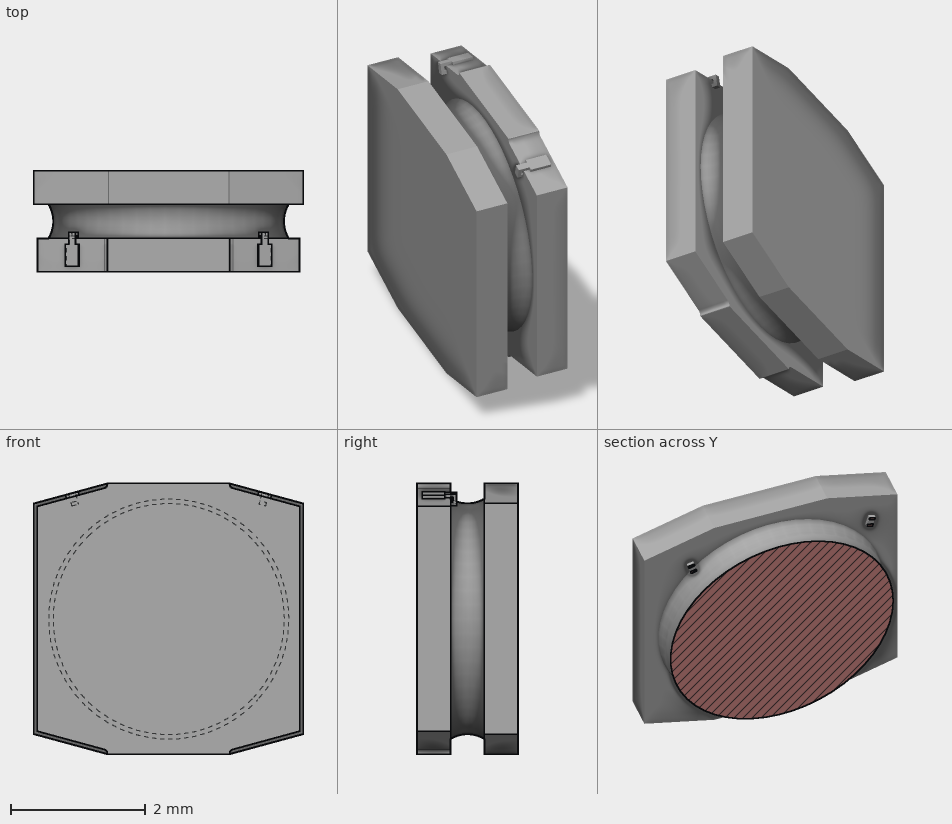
import cadquery as cq
import math

CORE_WIDTH = 4.0
CORE_DEPTH = 1.5
CORE_HEIGHT = 4.02
FLANGE_THICKNESS = 0.5
FLAT_HALF_WIDTH = 0.892
SIDE_HALF_HEIGHT = 1.71

FLANGE_SETBACK = 0.055
STEP_X = 0.905
STEP_FILLET = 0.07

POST_END_RADIUS = 1.78
POST_WAIST_RADIUS = 1.713

LEAD_X = 1.42
LEAD_THICKNESS = 0.052
PAD_WIDTH = 0.195
PAD_LENGTH = 0.33
PAD_FRONT_GAP = 0.08
TAIL_WIDTH = 0.1
TAIL_OVERHANG = 0.09
TAIL_HEIGHT = 0.175

FRONT_Y = -CORE_DEPTH / 2
BACK_FLANGE_Y = CORE_DEPTH / 2 - FLANGE_THICKNESS
HALF_WIDTH = CORE_WIDTH / 2
HALF_HEIGHT = CORE_HEIGHT / 2
SLOPE_ANGLE = math.atan2(HALF_HEIGHT - SIDE_HALF_HEIGHT, HALF_WIDTH - FLAT_HALF_WIDTH)


def slope_height(x, setback=0.0):
    """Height of the upper slope, set back at right angles to itself, at distance x from the middle."""
    drop_along_slope = (x - FLAT_HALF_WIDTH) * math.tan(SLOPE_ANGLE)
    return HALF_HEIGHT - drop_along_slope - setback / math.cos(SLOPE_ANGLE)


def extrude_flange(corners, front_y):
    """Mirror the upper-right corners into all four quadrants and extrude one flange towards +Y."""
    upper = corners + [(-x, z) for x, z in reversed(corners)]
    lower = [(-x, -z) for x, z in upper]
    plane = cq.Workplane("XZ", origin=(0, front_y, 0))
    return plane.polyline(upper + lower).close().extrude(-FLANGE_THICKNESS)


def make_back_flange():
    corners = [(HALF_WIDTH, SIDE_HALF_HEIGHT), (FLAT_HALF_WIDTH, HALF_HEIGHT)]
    return extrude_flange(corners, BACK_FLANGE_Y)


def make_front_flange():
    side_x = HALF_WIDTH - FLANGE_SETBACK
    step_foot_z = slope_height(STEP_X, FLANGE_SETBACK)
    corners = [
        (side_x, slope_height(side_x, FLANGE_SETBACK)),
        (STEP_X, step_foot_z),
        (STEP_X, slope_height(STEP_X)),
        (FLAT_HALF_WIDTH, HALF_HEIGHT),
    ]
    flange = extrude_flange(corners, FRONT_Y)

    mid_y = FRONT_Y + FLANGE_THICKNESS / 2
    for side in (-1, 1):
        for end in (-1, 1):
            step_foot = (side * STEP_X, mid_y, end * step_foot_z)
            flange = flange.edges(cq.selectors.NearestToPointSelector(step_foot)).fillet(STEP_FILLET)
    return flange


def make_post():
    """Revolve a concave profile about the Y axis, filling the space between the flanges."""
    half_length = CORE_DEPTH / 2 - FLANGE_THICKNESS
    return (
        cq.Workplane("XY")
        .moveTo(0, -half_length)
        .lineTo(POST_END_RADIUS, -half_length)
        .threePointArc((POST_WAIST_RADIUS, 0), (POST_END_RADIUS, half_length))
        .lineTo(0, half_length)
        .close()
        .revolve(360, (0, 0), (0, 1))
    )


def make_core():
    return make_back_flange().union(make_front_flange()).union(make_post())


def make_lead(side):
    """Lead on the left (side = -1) or right (side = 1) slope of the front flange."""
    pad_end = PAD_FRONT_GAP + PAD_LENGTH
    pad = (
        cq.Workplane("XY")
        .center(0, PAD_FRONT_GAP + PAD_LENGTH / 2)
        .rect(PAD_WIDTH, PAD_LENGTH)
        .extrude(LEAD_THICKNESS)
    )

    tail_end = FLANGE_THICKNESS + TAIL_OVERHANG
    foot_bottom = LEAD_THICKNESS - TAIL_HEIGHT
    foot_top = foot_bottom + LEAD_THICKNESS
    tail_profile = [
        (pad_end, 0),
        (pad_end, LEAD_THICKNESS),
        (tail_end, LEAD_THICKNESS),
        (tail_end, foot_bottom),
        (FLANGE_THICKNESS, foot_bottom),
        (FLANGE_THICKNESS, foot_top),
        (tail_end - LEAD_THICKNESS, foot_top),
        (tail_end - LEAD_THICKNESS, 0),
    ]
    tail = cq.Workplane("YZ").polyline(tail_profile).close().extrude(TAIL_WIDTH / 2, both=True)

    tilt = side * math.degrees(SLOPE_ANGLE)
    seat = (side * LEAD_X, FRONT_Y, slope_height(LEAD_X, FLANGE_SETBACK))
    return pad.union(tail).rotate((0, 0, 0), (0, 1, 0), tilt).translate(seat)


core = make_core()
leads = [make_lead(side) for side in (-1, 1)]

result = cq.Compound.makeCompound([core.val(), *[lead.val() for lead in leads]])